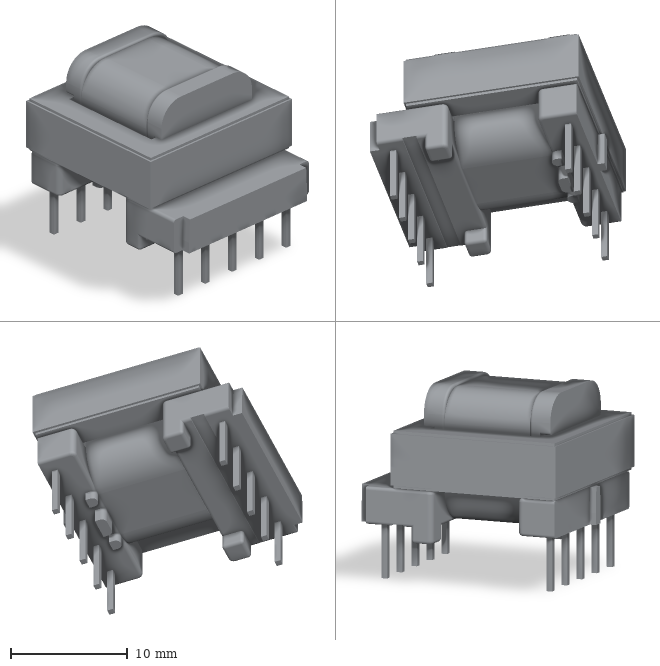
import cadquery as cq


total_height = 16.69

core_length = 15.08
core_width = 16.35
core_height = 5.0
window_length = 10.22
window_width = 11.6
leg_width = 3.81

tape_thickness = 0.2
tape_height = 4.5

core_clearance = 0.1
flange_inner_x = 3.99
flange_thickness = 0.93
overhang_length = 1.93
flange_width = 10.72
flange_top_z = 5.97
flange_radius = 2.3
rim_fillet = 0.25
mouth_fillet = 0.38
hole_width = leg_width + 2 * core_clearance
hole_height = core_height + 2 * core_clearance
tube_wall = 0.25

base_width = 15.98
base_top_z = -hole_height / 2
base_bottom_z = -5.85
base_mid_z = (base_top_z + base_bottom_z) / 2
base_corner_fillet = 0.48
base_edge_fillet = 0.29
left_base_length = 3.45
right_base_length = 6.22

tab_break_z = -4.8
tab_taper = 0.1
left_tab_length = 0.6
left_tab_width = 1.0
right_tab_length = 0.84
right_tab_width = 13.94

foot_bottom_z = -7.23
corner_foot_length = 1.98
corner_foot_width = 2.08
middle_foot_width = 2.0
side_foot_width = 1.0
side_foot_y = 2.69
side_foot_bottom_z = -6.73

slot_length = 1.24
slot_start_x = 6.7
slot_depth = 0.15

pin_size = 0.53
pin_pitch = 3.18
pins_per_row = 5
pin_bottom_z = flange_top_z - total_height
left_pin_x = -6.37
right_pin_x = 9.08

winding_height = 11.52
winding_radius = 2.82


select_margin = 0.02


def block(x_range, y_range, z_range):
    """Box that fills the given ranges."""
    sizes = [end - start for start, end in (x_range, y_range, z_range)]
    corner = (x_range[0], y_range[0], z_range[0])
    return cq.Workplane("XY").box(*sizes, centered=False).translate(corner)


def centred_range(size):
    return (-size / 2, size / 2)


def make_core_half(side):
    """E-shaped half of the core on the given side of x = 0 (-1 or 1)."""
    frame = cq.Workplane("XY").box(core_length, core_width, core_height)
    window = cq.Workplane("XY").box(window_length, window_width, core_height)
    centre_leg = cq.Workplane("XY").box(window_length, leg_width, core_height)
    half_space = cq.Workplane("XY").box(core_length, core_width, core_height)
    half_space = half_space.translate((side * core_length / 2, 0, 0))
    return frame.cut(window).union(centre_leg).intersect(half_space)


def make_tape():
    """Closed band around the four outer sides of the core."""
    outside = cq.Workplane("XY").box(
        core_length + 2 * tape_thickness, core_width + 2 * tape_thickness, tape_height
    )
    return outside.cut(cq.Workplane("XY").box(core_length, core_width, tape_height))


def make_tube_outside():
    """Solid bar with the outer size of the bobbin tube, between the flanges."""
    return cq.Workplane("XY").box(
        2 * flange_inner_x, hole_width + 2 * tube_wall, hole_height + 2 * tube_wall
    )


def make_winding():
    """Rounded coil that fills the space between the flanges around the tube."""
    coil = cq.Workplane("XY").box(2 * flange_inner_x, flange_width, winding_height)
    coil = coil.edges("|X").fillet(winding_radius)
    return coil.cut(make_tube_outside())


def make_flange():
    """Right-hand flange: a wall beside the winding with an overhang above the core."""
    outer_x = flange_inner_x + overhang_length
    wall_outer_x = flange_inner_x + flange_thickness
    flange = block((flange_inner_x, outer_x), centred_range(flange_width), (base_top_z, flange_top_z))
    flange = flange.edges("|X and >Z").fillet(flange_radius)
    below_overhang = block(
        (wall_outer_x, outer_x), centred_range(flange_width), (base_top_z, hole_height / 2)
    )
    flange = flange.cut(below_overhang)
    flange = flange.faces("<X").edges("not(<Z)").fillet(rim_fillet)

    hole = block((flange_inner_x, wall_outer_x), centred_range(hole_width), (base_top_z, hole_height / 2))
    flange = flange.cut(hole)
    mouth_edges = cq.selectors.BoxSelector(
        (wall_outer_x - select_margin, -hole_width / 2 - select_margin, base_top_z),
        (wall_outer_x + select_margin, hole_width / 2 + select_margin, hole_height / 2),
    )
    return flange.edges("|Z").edges(mouth_edges).fillet(mouth_fillet)


def make_left_flange():
    """Mirrored flange whose overhang also has rounded lower side edges."""
    flange = make_flange().mirror("YZ")
    overhang_outer_x = -flange_inner_x - overhang_length
    wall_outer_x = -flange_inner_x - flange_thickness
    lower_edges = cq.selectors.BoxSelector(
        (overhang_outer_x, -flange_width, hole_height / 2 - select_margin),
        (wall_outer_x, flange_width, hole_height / 2 + select_margin),
    )
    return flange.edges("|X").edges(lower_edges).fillet(rim_fillet)


def make_base(outer_x, inner_x):
    """Terminal base between its flat outer face and its rounded inner face."""
    x_range = sorted((outer_x, inner_x))
    inner_face = ">X" if inner_x > outer_x else "<X"
    outer_face = "<X" if inner_x > outer_x else ">X"
    base = block(x_range, centred_range(base_width), (base_bottom_z, base_top_z))
    base = base.edges("|Z").edges(inner_face).fillet(base_corner_fillet)
    side_edges = f"(<Z or >Z) and (not {outer_face})"
    return base.edges(side_edges).fillet(base_edge_fillet)


def make_inner_foot(centre_y, width, bottom_z):
    """Foot under the inner side of the left base, with rounded inner corners."""
    x_range = (-flange_inner_x - flange_thickness, -flange_inner_x)
    y_range = (centre_y - width / 2, centre_y + width / 2)
    foot = block(x_range, y_range, (bottom_z, base_mid_z))
    return foot.edges("|Z and >X").fillet(base_corner_fillet)


def make_left_base():
    """Terminal base with a middle foot and two shorter feet at its inner face."""
    base = make_base(-flange_inner_x - left_base_length, -flange_inner_x)
    base = base.union(make_inner_foot(0, middle_foot_width, foot_bottom_z))
    for side in (-1, 1):
        base = base.union(make_inner_foot(side * side_foot_y, side_foot_width, side_foot_bottom_z))
    return base


def make_corner_foot():
    """Foot at the inner front corner of the right base."""
    x_range = (flange_inner_x, flange_inner_x + corner_foot_length)
    y_range = (-base_width / 2, -base_width / 2 + corner_foot_width)
    foot = block(x_range, y_range, (foot_bottom_z, base_mid_z))
    foot = foot.edges("|Z and <X and <Y").fillet(base_corner_fillet)
    foot = foot.edges("|Z and (>X or >Y)").fillet(base_edge_fillet)
    return foot.faces("<Z").edges().fillet(base_edge_fillet)


def make_right_base():
    """Terminal base with a slot across its underside and a foot at each inner corner."""
    base = make_base(flange_inner_x + right_base_length, flange_inner_x)
    slot = block(
        (slot_start_x, slot_start_x + slot_length),
        centred_range(base_width),
        (base_bottom_z, base_bottom_z + slot_depth),
    )
    foot = make_corner_foot()
    return base.cut(slot).union(foot).union(foot.mirror("XZ"))


def make_tab(start_x, length, width):
    """Tab on the outer face of a base, tapered in width above tab_break_z."""
    bottom_y = width / 2
    top_y = bottom_y - tab_taper
    outline = [
        (-bottom_y, base_bottom_z),
        (bottom_y, base_bottom_z),
        (bottom_y, tab_break_z),
        (top_y, base_top_z),
        (-top_y, base_top_z),
        (-bottom_y, tab_break_z),
    ]
    return cq.Workplane("YZ").polyline(outline).close().extrude(length).translate((start_x, 0, 0))


def make_pin(centre_x, centre_y):
    """Square terminal pin that starts inside its base."""
    half = pin_size / 2
    return block(
        (centre_x - half, centre_x + half), (centre_y - half, centre_y + half), (pin_bottom_z, base_mid_z)
    )


def make_bobbin():
    """One moulded body: tube, flanges, bases and tabs, together with the pins."""
    tube_hole = cq.Workplane("XY").box(2 * flange_inner_x, hole_width, hole_height)
    bobbin = make_tube_outside().cut(tube_hole)
    bobbin = bobbin.union(make_flange()).union(make_left_flange())
    bobbin = bobbin.union(make_left_base()).union(make_right_base())

    left_outer_x = -flange_inner_x - left_base_length
    right_outer_x = flange_inner_x + right_base_length
    bobbin = bobbin.union(make_tab(left_outer_x - left_tab_length, left_tab_length, left_tab_width))
    bobbin = bobbin.union(make_tab(right_outer_x, right_tab_length, right_tab_width))

    for pin_x in (left_pin_x, right_pin_x):
        for index in range(pins_per_row):
            pin_y = (index - (pins_per_row - 1) / 2) * pin_pitch
            bobbin = bobbin.union(make_pin(pin_x, pin_y))
    return bobbin


core_halves = [make_core_half(side) for side in (-1, 1)]
tape = make_tape()
bobbin = make_bobbin()
winding = make_winding()

result = cq.Compound.makeCompound(
    [half.val() for half in core_halves] + [tape.val(), *bobbin.vals(), winding.val()]
)